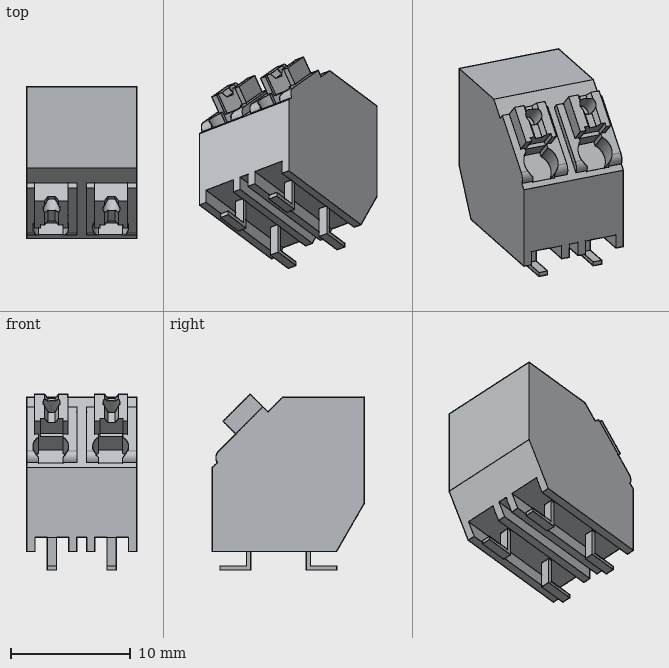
import cadquery as cq
import math


total_width = 9.2
total_depth = 12.7
total_height = 14.71

pitch = 5.0
way_centers = [-pitch / 2, pitch / 2]
pad_width = total_width - pitch

body_bottom = 1.55
body_top = 14.46
slope_foot = 8.58
rear_chamfer_depth = 2.32
rear_chamfer_angle = 60.0
bottom_slot_width = 2.8
bottom_slot_height = 1.2

pad_height = 0.6
pad_top_end = 6.58
pad_nose_radius = 0.8
pad_nose_center = 1.35

entry_offset = -0.09
entry_center = 1.9
entry_radius = 1.5
entry_slot_width = 2.02
entry_slot_start = 0.51
entry_floor = -1.31

lever_offset = -0.06
lever_width = 2.8
lever_foot = 3.37
lever_top = (total_height - slope_foot) * math.sqrt(2) - pad_top_end
groove_offset = -0.01
notch_width = 1.88
notch_depth = 0.34
notch_floor = 0.31
groove_top_width = 1.18
groove_bottom_width = 0.6
groove_depth = 0.5
driver_hole_center = 5.6
driver_hole_radius = 0.7
driver_hole_floor = 0.0

pin_width = 0.8
pin_thickness = 0.37
front_pin_rear_face = 3.22
rear_pin_front_face = 7.84
pin_foot_length = 2.57

slope_plane = cq.Plane(origin=(0, 0, slope_foot), xDir=(1, 0, 0), normal=(0, -1, 1))


def slope_box(x_center, width, s_start, s_end, d_start, d_end):
    """Box on the slope: s runs up the slope from its foot, d runs out of its surface."""
    return (
        cq.Workplane(slope_plane)
        .workplane(offset=d_start)
        .center(x_center, (s_start + s_end) / 2)
        .rect(width, s_end - s_start)
        .extrude(d_end - d_start)
    )


def slope_cylinder(x_center, s_center, radius, d_start, d_end):
    """Round bar standing square to the slope."""
    return (
        cq.Workplane(slope_plane)
        .workplane(offset=d_start)
        .center(x_center, s_center)
        .circle(radius)
        .extrude(d_end - d_start)
    )


def make_body_block():
    """Housing outline, swept across the full width."""
    slope_rise = body_top - slope_foot
    rear_chamfer_rise = rear_chamfer_depth * math.tan(math.radians(rear_chamfer_angle))
    return (
        cq.Workplane("YZ", origin=(-total_width / 2, 0, 0))
        .moveTo(0, body_bottom)
        .lineTo(0, slope_foot)
        .lineTo(slope_rise, body_top)
        .lineTo(total_depth, body_top)
        .lineTo(total_depth, body_bottom + rear_chamfer_rise)
        .lineTo(total_depth - rear_chamfer_depth, body_bottom)
        .close()
        .extrude(total_width)
    )


def make_pad(x_center):
    """Raised pad on the slope with a rounded nose at its lower end."""
    side_plane = cq.Plane(
        origin=(x_center - pad_width / 2, 0, slope_foot), xDir=(0, 1, 1), normal=(1, 0, 0)
    )
    nose_center_height = pad_height - pad_nose_radius
    nose_end = pad_nose_center - math.sqrt(pad_nose_radius**2 - nose_center_height**2)
    nose_mid_reach = pad_nose_radius / math.sqrt(2)
    nose_mid = (pad_nose_center - nose_mid_reach, nose_center_height + nose_mid_reach)
    return (
        cq.Workplane(side_plane)
        .moveTo(nose_end, 0)
        .threePointArc(nose_mid, (pad_nose_center, pad_height))
        .lineTo(pad_top_end, pad_height)
        .lineTo(pad_top_end, 0)
        .close()
        .extrude(pad_width)
    )


def make_entry_cutter(x_center):
    """Blind round wire entry crossed by a slot, both with flat ends down the slope and at the lever."""
    x_entry = x_center + entry_offset
    bore = slope_cylinder(x_entry, entry_center, entry_radius, entry_floor, pad_height)
    slot = slope_box(x_entry, entry_slot_width, entry_slot_start, lever_foot, entry_floor, pad_height)
    end_limits = slope_box(x_entry, 2 * entry_radius, entry_slot_start, lever_foot, entry_floor, pad_height)
    return bore.intersect(end_limits).union(slot)


def make_lever_pocket(x_center):
    """Pocket that takes the inner end of the lever, as deep as the wire entry."""
    return slope_box(x_center + lever_offset, lever_width, lever_foot, pad_top_end, entry_floor, pad_height)


def make_bottom_slot(x_center, width):
    """Slot under the housing, open at the front and back."""
    return cq.Workplane("XY", origin=(x_center, total_depth / 2, body_bottom)).box(
        width, total_depth, bottom_slot_height, centered=(True, True, False)
    )


def make_housing():
    housing = make_body_block()
    for x_center in way_centers:
        housing = housing.union(make_pad(x_center))
    for x_center in way_centers:
        housing = housing.cut(make_entry_cutter(x_center))
        housing = housing.cut(make_lever_pocket(x_center))
        housing = housing.cut(make_bottom_slot(x_center, bottom_slot_width))
    return housing.cut(make_bottom_slot(0, pitch - pad_width))


def make_groove_cutter(x_center):
    """Tapered groove along the top of the lever."""
    groove_plane = cq.Plane(origin=(x_center, 0, slope_foot), xDir=(1, 0, 0), normal=(0, -1, -1))
    groove_bottom = lever_top - groove_depth
    return (
        cq.Workplane(groove_plane)
        .polyline([
            (-groove_top_width / 2, lever_top),
            (groove_top_width / 2, lever_top),
            (groove_bottom_width / 2, groove_bottom),
            (-groove_bottom_width / 2, groove_bottom),
        ])
        .close()
        .extrude(-pad_top_end)
    )


def make_lever(x_center):
    """Push lever with a notched lower face, a driver groove and a driver hole."""
    x_groove = x_center + groove_offset
    lever = slope_box(x_center + lever_offset, lever_width, lever_foot, pad_top_end, entry_floor, lever_top)
    notch = slope_box(x_groove, notch_width, lever_foot, lever_foot + notch_depth, notch_floor, lever_top)
    driver_hole = slope_cylinder(
        x_groove, driver_hole_center, driver_hole_radius, driver_hole_floor, lever_top
    )
    return lever.cut(notch).cut(make_groove_cutter(x_groove)).cut(driver_hole)


def make_pin(x_center, inner_face, foot_direction):
    """L-shaped pin: inner_face is the Y of its heel, foot_direction the Y sense of its foot."""
    pin_top = body_bottom + bottom_slot_height
    outer_face = inner_face + foot_direction * pin_thickness
    foot_tip = inner_face + foot_direction * pin_foot_length
    return (
        cq.Workplane("YZ", origin=(x_center - pin_width / 2, 0, 0))
        .moveTo(inner_face, 0)
        .lineTo(foot_tip, 0)
        .lineTo(foot_tip, pin_thickness)
        .lineTo(outer_face, pin_thickness)
        .lineTo(outer_face, pin_top)
        .lineTo(inner_face, pin_top)
        .close()
        .extrude(pin_width)
    )


housing = make_housing()
levers = [make_lever(x_center) for x_center in way_centers]
front_pins = [make_pin(x_center, front_pin_rear_face, -1) for x_center in way_centers]
rear_pins = [make_pin(x_center, rear_pin_front_face, 1) for x_center in way_centers]

bodies = [housing, *levers, *front_pins, *rear_pins]
result = cq.Compound.makeCompound([body.solids().val() for body in bodies])